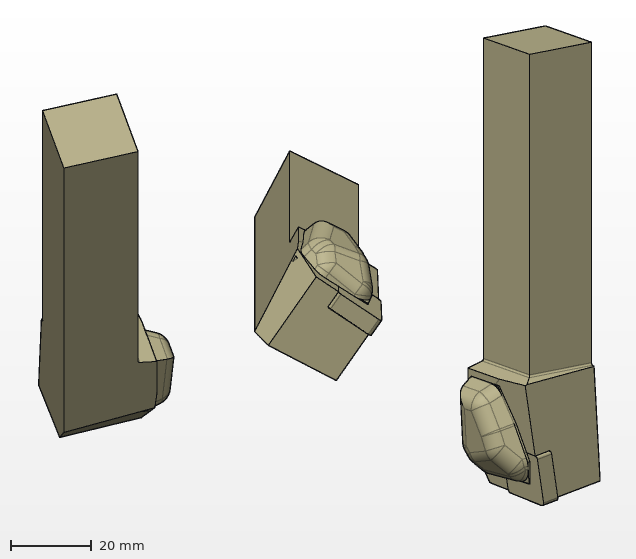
import cadquery as cq
import math

total_length = 114.3
shank_width = 19.1
head_depth = 23.9
rake_angle = 6.0
lead_angle = 5.0
outline_margin = 45.7

insert_nose_angle = 80.0
insert_inscribed_circle = 12.7
insert_thickness = 4.8
nose_radius = 0.8
nose_reach = 6.3
nose_height_y = 19.5
insert_overhang = 0.7

shoulder_height = 31.8
shoulder_slope = 14.0
shoulder_fillet = 0.6
chamfer_low = (18.6, 1.4)
chamfer_slope = 59.5
edge_slack = 0.1

clamp_outline = [
    (-2.0, 4.7),
    (-2.5, 10.6),
    (1.3, 19.8),
    (6.4, 28.8),
    (17.5, 28.8),
    (18.7, 11.4),
    (12.6, 4.6),
]
clamp_rim_y = 23.95
clamp_rim_z = 27.4
clamp_rim_tilt = 8.2
clamp_foot_depth = 2.3
clamp_stock_height = 8.6
clamp_wall_lean = 18.0
clamp_fillet = 4.6
clamp_top_point = (0, 30.0, 22.9)
clamp_top_rise = (0, 0.1)
clamp_ramp_point = (10.3, 26.9, 8.0)
clamp_ramp_rise = (0.2, 0.8)


def tan(angle):
    return math.tan(math.radians(angle))


def sin(angle):
    return math.sin(math.radians(angle))


def polar(start, length, angle):
    """The point at a length and an angle in degrees from a start point."""
    turn = math.radians(angle)
    return (start[0] + length * math.cos(turn), start[1] + length * math.sin(turn))


rake = cq.Plane(
    origin=(nose_radius - nose_reach, nose_height_y, nose_radius),
    xDir=(1, tan(rake_angle), 0),
    normal=(tan(rake_angle), -1, tan(rake_angle)),
)
side_edge_angle = 90 - lead_angle
end_edge_angle = side_edge_angle - insert_nose_angle
nose_bisector = (side_edge_angle + end_edge_angle) / 2


def nose_corner(inset):
    """The sharp corner of two lines parallel to the cutting edges, at a distance from the nose centre."""
    return polar((0, 0), -inset / sin(insert_nose_angle / 2), nose_bisector)


def make_insert():
    side = insert_inscribed_circle / sin(insert_nose_angle)
    nose = nose_corner(nose_radius)
    end_corner = polar(nose, side, end_edge_angle)
    side_corner = polar(nose, side, side_edge_angle)
    far_corner = polar(end_corner, side, side_edge_angle)
    return (
        cq.Workplane(rake)
        .polyline([nose, end_corner, far_corner, side_corner])
        .close()
        .extrude(insert_thickness)
        .edges(cq.selectors.ParallelDirSelector(rake.zDir))
        .fillet(nose_radius)
    )


def make_head():
    corner = nose_corner(nose_radius - insert_overhang)
    chamfer_high = polar(chamfer_low, outline_margin, chamfer_slope)
    head = (
        cq.Workplane(rake)
        .polyline([corner, chamfer_low, chamfer_high, polar(corner, outline_margin, side_edge_angle)])
        .close()
        .extrude(outline_margin)
    )
    drop = outline_margin * tan(shoulder_slope)
    side_limit = (
        cq.Workplane("XZ")
        .polyline([
            (-outline_margin, 0),
            (shank_width, 0),
            (shank_width, shoulder_height),
            (0, shoulder_height),
            (-outline_margin, shoulder_height - drop),
        ])
        .close()
        .extrude(-head_depth)
    )
    back_limit = (
        cq.Workplane("YZ", origin=(-outline_margin, 0, 0))
        .polyline([
            (0, 0),
            (shank_width + outline_margin, 0),
            (shank_width + outline_margin, shoulder_height - drop),
            (shank_width, shoulder_height),
            (0, shoulder_height),
        ])
        .close()
        .extrude(2 * outline_margin)
    )
    return head.intersect(side_limit).intersect(back_limit)


def make_shank():
    return (
        cq.Workplane("XY", origin=(0, 0, shoulder_height))
        .rect(shank_width, shank_width, centered=False)
        .extrude(total_length - shoulder_height)
    )


def space_above(point, rise):
    """A large block above a plane through a point, given by the plane's rise in Y along X and Z."""
    rise_x, rise_z = rise
    plane = cq.Plane(origin=point, normal=(-rise_x, 1, -rise_z))
    return cq.Workplane(plane).rect(2 * outline_margin, 2 * outline_margin).extrude(outline_margin)


def make_clamp():
    rim = cq.Plane(
        origin=(0, clamp_rim_y, clamp_rim_z),
        xDir=(1, 0, 0),
        normal=(0, -1, tan(clamp_rim_tilt)),
    )
    outline = [(x, z - clamp_rim_z) for x, z in clamp_outline]
    foot = cq.Workplane(rim).polyline(outline).close().extrude(clamp_foot_depth)
    cap = (
        cq.Workplane(rim)
        .polyline(outline)
        .close()
        .extrude(-clamp_stock_height, taper=clamp_wall_lean)
        .cut(space_above(clamp_top_point, clamp_top_rise))
        .cut(space_above(clamp_ramp_point, clamp_ramp_rise))
    )
    sharp_edges = cap.faces(cq.selectors.DirectionMinMaxSelector(rim.zDir)).edges().vals()
    sharp_edges += cap.edges(">(1, 0, 1)").vals()
    round_edges = [
        edge for edge in cap.edges().vals()
        if not any(edge.isSame(sharp) for sharp in sharp_edges)
    ]
    return cap.newObject(round_edges).fillet(clamp_fillet).union(foot)


def make_holder(insert):
    blank = make_head().union(make_shank())
    shoulder_edges = cq.selectors.BoxSelector(
        (-edge_slack, -edge_slack, shoulder_height - edge_slack),
        (shank_width + edge_slack, shank_width + edge_slack, shoulder_height + edge_slack),
    )
    blank = blank.edges(shoulder_edges).fillet(shoulder_fillet)
    return blank.union(make_clamp()).cut(insert)


insert = make_insert()
holder = make_holder(insert)
result = cq.Compound.makeCompound([holder.val(), insert.val()])